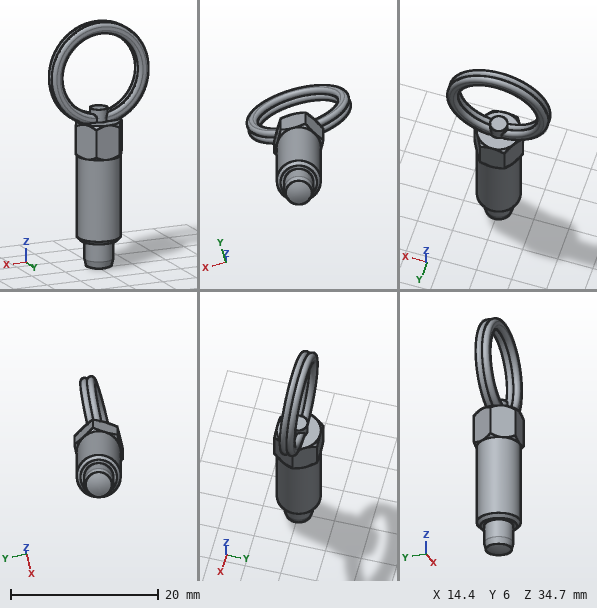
import cadquery as cq
import math

overall_height = 34.7
ring_diameter = 14.4
coil_width = 1.0
coil_depth = 1.53
coil_spacing = 0.95

body_diameter = 6.0
body_bottom = 4.0
body_chamfer = 0.52
hex_bottom = 16.0
hex_top = 20.82
knob_diameter = 2.4
knob_top = 22.62

nose_diameter = 4.0
nose_taper_top = 1.4
nose_tip_diameter = 3.55
nose_dome_height = 0.4

ring_center_z = overall_height - ring_diameter / 2
hex_corner_diameter = body_diameter / math.cos(math.pi / 6)
body_radius = body_diameter / 2
nose_radius = nose_diameter / 2
tip_radius = nose_tip_diameter / 2
dome_radius = (tip_radius**2 + nose_dome_height**2) / (2 * nose_dome_height)


def make_coil(center_y):
    """One closed coil about an axis parallel to Y."""
    coil_center_x = (ring_diameter - coil_depth) / 2
    return (
        cq.Workplane("XY", origin=(0, 0, ring_center_z))
        .center(coil_center_x, center_y)
        .slot2D(coil_depth, coil_width)
        .revolve(360, (-coil_center_x, 0, 0), (-coil_center_x, 1, 0))
    )


def make_ring():
    """Two merged coils forming a single solid."""
    return make_coil(-coil_spacing / 2).union(make_coil(coil_spacing / 2))


def make_turned_body():
    """Domed nose, cylindrical barrel and knob stem, all about Z."""
    half_tip = math.asin(tip_radius / dome_radius) / 2
    dome_mid = (
        dome_radius * math.sin(half_tip),
        dome_radius * (1 - math.cos(half_tip)),
    )
    return (
        cq.Workplane("XZ")
        .moveTo(0, 0)
        .threePointArc(dome_mid, (tip_radius, nose_dome_height))
        .lineTo(nose_radius, nose_taper_top)
        .lineTo(nose_radius, body_bottom)
        .lineTo(body_radius - body_chamfer, body_bottom)
        .lineTo(body_radius, body_bottom + body_chamfer)
        .lineTo(body_radius, hex_top)
        .lineTo(knob_diameter / 2, hex_top)
        .lineTo(knob_diameter / 2, knob_top)
        .lineTo(0, knob_top)
        .close()
        .revolve(360, (0, 0, 0), (0, 1, 0))
    )


def make_hex():
    """Hexagonal head whose corners are trimmed by 45 degree cones at both ends."""
    height = hex_top - hex_bottom
    plane = cq.Workplane("XY", origin=(0, 0, hex_bottom))
    prism = plane.polygon(6, hex_corner_diameter).extrude(height)
    corner_trim = (hex_corner_diameter - body_diameter) / 2
    envelope = plane.circle(hex_corner_diameter / 2).extrude(height).edges().chamfer(corner_trim)
    return prism.intersect(envelope)


def make_plunger(ring):
    """Plunger with the ring's matching passage through its knob and head."""
    return make_turned_body().union(make_hex()).cut(ring)


pull_ring = make_ring()
plunger = make_plunger(pull_ring)

result = cq.Compound.makeCompound([plunger.val(), pull_ring.val()])